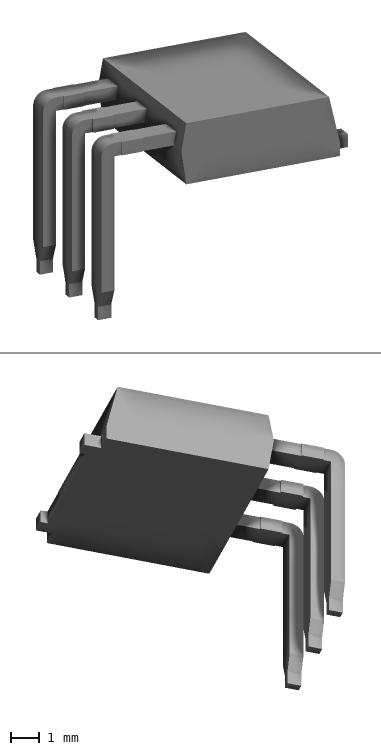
import cadquery as cq

overall_length = 9.47
overall_height = 7.13

body_width = 6.58
body_length = 6.09
body_height = 2.28
parting_height = 1.27
front_setback = 0.19
back_setback = 0.42

tab_length = 0.6
tab_thickness = 0.5
tab_width = 5.38
notch_width = 4.33
notch_depth = 0.25

lead_pitch = 2.3
lead_thickness = 0.5
lead_front = body_length + tab_length - overall_length
lead_top = parting_height + lead_thickness
lead_bottom = body_height - overall_height
shoulder_start = -1.2
shoulder_end = -2.01
taper_end = -4.35

outer_lead = {"width": 0.78, "shoulder": 0.85, "tip": 0.28, "taper_start": -3.73}
middle_lead = {"width": 0.75, "shoulder": 0.88, "tip": 0.31, "taper_start": -3.79}


def make_body():
    """Moulded body with a sloped back and a front that slopes away from the parting edge."""
    side_profile = [
        (front_setback, 0),
        (body_length, 0),
        (body_length, tab_thickness),
        (body_length - back_setback, body_height),
        (front_setback, body_height),
        (0, parting_height),
    ]
    return (
        cq.Workplane("YZ")
        .polyline(side_profile)
        .close()
        .extrude(body_width / 2, both=True)
    )


def make_tab():
    """Tab flush with the underside, notched along its back edge."""
    tab_end = body_length + tab_length
    tab = (
        cq.Workplane("XY")
        .center(0, body_length + tab_length / 2)
        .rect(tab_width, tab_length)
        .extrude(tab_thickness)
    )
    notch = (
        cq.Workplane("XY")
        .center(0, tab_end - notch_depth / 2)
        .rect(notch_width, notch_depth)
        .extrude(tab_thickness)
    )
    return tab.cut(notch)


def make_lead(x_center, sizes):
    """Flat lead with a shoulder, a right-angle bend and a narrowed tip."""
    half_width = sizes["width"] / 2
    half_tip = sizes["tip"] / 2

    bend_and_arm = (
        cq.Workplane("YZ", origin=(x_center, 0, 0))
        .moveTo(front_setback, parting_height)
        .lineTo(front_setback, lead_top)
        .lineTo(lead_front + lead_thickness, lead_top)
        .radiusArc((lead_front, parting_height), -lead_thickness)
        .close()
        .extrude(half_width, both=True)
    )
    shoulder = (
        cq.Workplane("XY", origin=(x_center, (shoulder_start + shoulder_end) / 2, parting_height))
        .rect(sizes["shoulder"], shoulder_start - shoulder_end)
        .extrude(lead_thickness)
    )
    leg = (
        cq.Workplane("XZ", origin=(x_center, lead_front, 0))
        .polyline([
            (-half_width, parting_height),
            (half_width, parting_height),
            (half_width, sizes["taper_start"]),
            (half_tip, taper_end),
            (half_tip, lead_bottom),
            (-half_tip, lead_bottom),
            (-half_tip, taper_end),
            (-half_width, sizes["taper_start"]),
        ])
        .close()
        .extrude(-lead_thickness)
    )
    return bend_and_arm.union(shoulder).union(leg)


result = make_body().union(make_tab())
for x_center, sizes in [
    (-lead_pitch, outer_lead),
    (0, middle_lead),
    (lead_pitch, outer_lead),
]:
    result = result.union(make_lead(x_center, sizes))